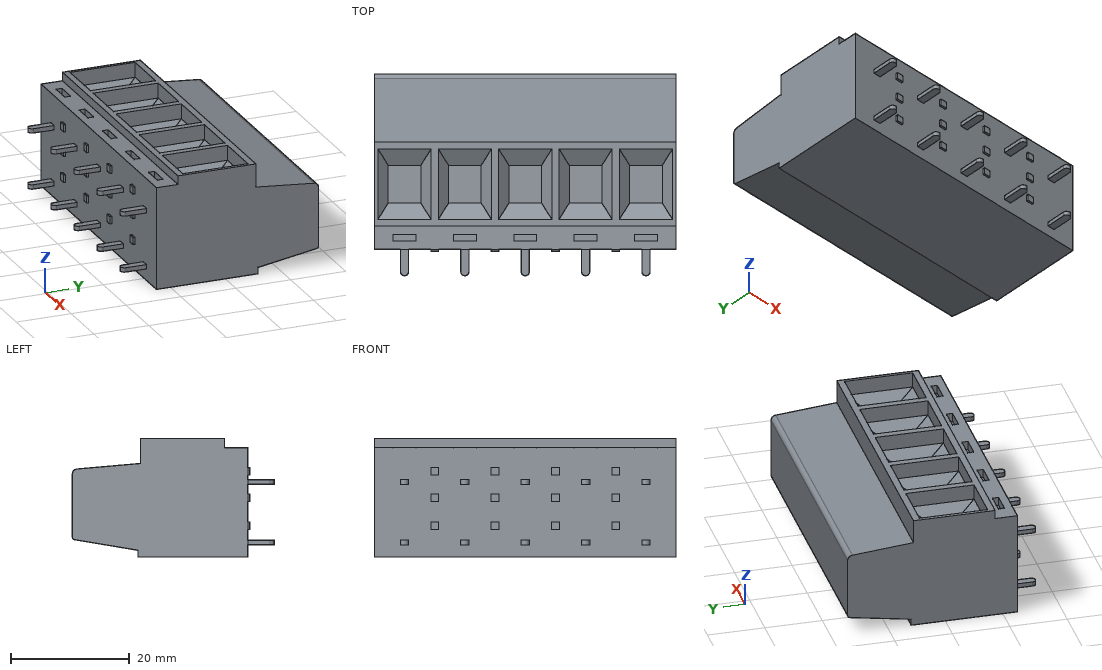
import cadquery as cq


poles = 5
pitch = 10.16
side_clearance = 0.01
body_width = poles * pitch + 2 * side_clearance
pole_centres = [side_clearance + pitch * (i + 0.5) for i in range(poles)]
gap_centres = [side_clearance + pitch * i for i in range(1, poles)]

pin_length = 4.45
pin_width = 1.4
pin_thickness = 0.8
lower_pin_z = 2.5
pin_rows = [lower_pin_z, lower_pin_z + pitch]

overall_depth = 34.0
body_depth = overall_depth - pin_length
body_height = 20.0
ledge_depth = 3.9
ledge_z = body_height - 1.55
upper_step_y = 18.1
upper_step_z = 15.8
lower_step_y = 18.5
lower_step_z = 1.15
back_top_z = 14.8
back_bottom_z = 3.0
back_top_radius = 0.9
back_bottom_radius = 0.5

funnel_width = 8.95
funnel_front_y = 5.05
funnel_back_y = 16.9
funnel_straight_depth = 2.7
funnel_taper_depth = 1.75
floor_width = 5.5
floor_front_y = 7.8
floor_back_y = 14.15

slot_width = 3.85
slot_front_y = 1.45
slot_back_y = 2.5
slot_depth = 1.5

pad_size = 1.3
pad_height = 0.35
pad_rows = [5.3, 10.0, 14.45]


def make_housing():
    """Stepped side profile, extruded across all poles, with rounded rear edges."""
    profile = [
        (0, 0),
        (lower_step_y, 0),
        (lower_step_y, lower_step_z),
        (body_depth, back_bottom_z),
        (body_depth, back_top_z),
        (upper_step_y, upper_step_z),
        (upper_step_y, body_height),
        (ledge_depth, body_height),
        (ledge_depth, ledge_z),
        (0, ledge_z),
    ]
    housing = cq.Workplane("YZ").polyline(profile).close().extrude(body_width)
    housing = housing.faces(">Y").edges("|X").edges(">Z").fillet(back_top_radius)
    return housing.faces(">Y").edges("|X").edges("<Z").fillet(back_bottom_radius)


def make_funnel(x):
    """Straight-sided opening followed by a taper down to a flat floor."""
    mouth_y = (funnel_front_y + funnel_back_y) / 2
    mouth_length = funnel_back_y - funnel_front_y
    floor_y = (floor_front_y + floor_back_y) / 2
    floor_length = floor_back_y - floor_front_y
    taper_z = body_height - funnel_straight_depth
    mouth = cq.Workplane("XY", origin=(x, mouth_y, taper_z)).rect(funnel_width, mouth_length)
    opening = mouth.extrude(funnel_straight_depth)
    taper = (
        cq.Workplane("XY", origin=(x, mouth_y, taper_z))
        .rect(funnel_width, mouth_length)
        .workplane(offset=-funnel_taper_depth)
        .center(0, floor_y - mouth_y)
        .rect(floor_width, floor_length)
        .loft(ruled=True)
    )
    return opening.union(taper)


def make_slot(x):
    """Blind rectangular slot sunk from the ledge."""
    slot_length = slot_back_y - slot_front_y
    slot_y = (slot_front_y + slot_back_y) / 2
    slot = cq.Workplane("XY", origin=(x, slot_y, ledge_z)).rect(slot_width, slot_length)
    return slot.extrude(-slot_depth)


def make_pin(x, z):
    """Flat pin pointing to -Y with a fully rounded tip."""
    half_width = pin_width / 2
    tip_start_y = half_width - pin_length
    outline = (
        cq.Workplane("XY", origin=(x, 0, z))
        .moveTo(-half_width, 0)
        .lineTo(-half_width, tip_start_y)
        .threePointArc((0, -pin_length), (half_width, tip_start_y))
        .lineTo(half_width, 0)
        .close()
    )
    return outline.extrude(pin_thickness / 2, both=True)


def make_pad(x, z):
    """Small square stand-off on the pin face."""
    return cq.Workplane("XZ", origin=(x, 0, z)).rect(pad_size, pad_size).extrude(pad_height)


result = make_housing()

for pole_x in pole_centres:
    result = result.cut(make_funnel(pole_x))
    result = result.cut(make_slot(pole_x))
    for row_z in pin_rows:
        result = result.union(make_pin(pole_x, row_z))

for gap_x in gap_centres:
    for row_z in pad_rows:
        result = result.union(make_pad(gap_x, row_z))